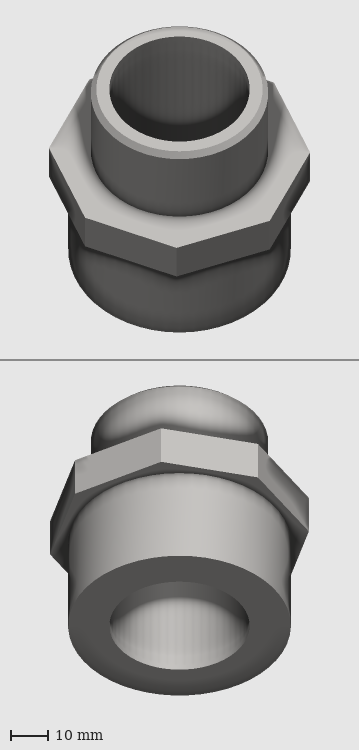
import cadquery as cq
import math

total_height = 65.0
socket_height = 28.6
collar_height = 11.6
spigot_height = total_height - socket_height - collar_height

collar_across_flats = 65.0
collar_sides = 8
socket_diameter = 60.0
spigot_diameter = 47.8
bore_diameter = 37.8
spigot_chamfer = 1.5


def make_socket():
    """Wide cylindrical lower end, standing on Z = 0."""
    return cq.Workplane("XY").circle(socket_diameter / 2).extrude(socket_height)


def make_collar():
    """Octagonal wrench collar with flats facing X and Y."""
    half_side_angle = math.pi / collar_sides
    across_corners = collar_across_flats / math.cos(half_side_angle)
    return (
        cq.Workplane("XY")
        .workplane(offset=socket_height)
        .transformed(rotate=(0, 0, math.degrees(half_side_angle)))
        .polygon(collar_sides, across_corners)
        .extrude(collar_height)
    )


def make_spigot():
    """Narrow cylindrical upper end with a chamfered rim."""
    return (
        cq.Workplane("XY")
        .workplane(offset=socket_height + collar_height)
        .circle(spigot_diameter / 2)
        .extrude(spigot_height)
        .faces(">Z")
        .edges()
        .chamfer(spigot_chamfer)
    )


def make_bore():
    """Straight passage through the full height."""
    return cq.Workplane("XY").circle(bore_diameter / 2).extrude(total_height)


result = make_socket().union(make_collar()).union(make_spigot()).cut(make_bore())